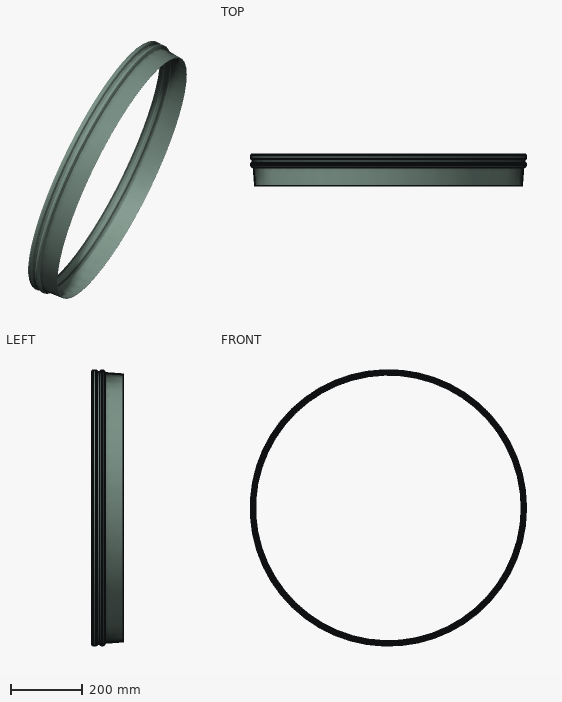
import cadquery as cq

length = 89.0
rib_radius = 776 / 2
groove_radius = 767.5 / 2
inner_rib_radius = 772.0 / 2
wall = rib_radius - inner_rib_radius

ramp = 5.0
first_rib_width = 7.0
second_rib_width = 4.0
groove_width = 7.0
step_width = 1.5
sleeve_top_radius = 380
sleeve_end_radius = 376.0

first_rib_start = ramp
first_rib_end = first_rib_start + first_rib_width
groove_start = first_rib_end + ramp
groove_end = groove_start + groove_width
second_rib_start = groove_end + ramp
second_rib_end = second_rib_start + second_rib_width
step_start = second_rib_end + ramp
sleeve_start = step_start + step_width

outer_surface = [
    (groove_radius, 0),
    (rib_radius, first_rib_start),
    (rib_radius, first_rib_end),
    (groove_radius, groove_start),
    (groove_radius, groove_end),
    (rib_radius, second_rib_start),
    (rib_radius, second_rib_end),
    (groove_radius, step_start),
    (sleeve_top_radius, sleeve_start),
    (sleeve_end_radius, length),
]


def wall_profile():
    """Section of the thin wall: the inner surface follows the outer one."""
    outer = [(radius, length / 2 - station) for radius, station in outer_surface]
    inner = [(radius - wall, y) for radius, y in reversed(outer)]
    return cq.Workplane("XY").polyline(outer + inner).close()


result = wall_profile().revolve(360, (0, 0, 0), (0, 1, 0))